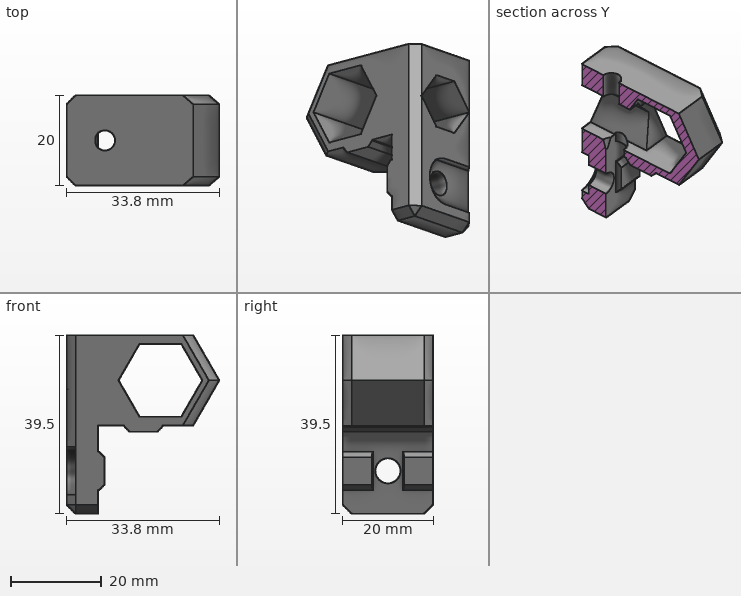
import cadquery as cq
import math

WIDTH = 20.0
HEIGHT = 39.5
LENGTH = 33.77
ARM_HEIGHT = 20.0
LEG_THICKNESS = 7.0
CHAMFER = 2.0
HALF_HEX_ANGLE = math.radians(30)
RAIL_WIDTH = 20.0

ARM_BOTTOM = HEIGHT - ARM_HEIGHT
ARM_MID = HEIGHT - ARM_HEIGHT / 2
NOSE_LENGTH = ARM_HEIGHT / 2 * math.tan(HALF_HEX_ANGLE)

KEY_TIP_WIDTH = 6.1
KEY_HEIGHT = 1.4
KEY_STEP = 0.2
KEY_ROOT_WIDTH = KEY_TIP_WIDTH + 2 * (KEY_HEIGHT - KEY_STEP)
ARM_KEY_X = LEG_THICKNESS + RAIL_WIDTH / 2
LEG_KEY_Z = ARM_BOTTOM - RAIL_WIDTH / 2

BORE_ACROSS_FLATS = 16.0
BORE_X = 20.75

WINDOW_WIDTH = 16.0
WINDOW_FLAT = 6.0
WINDOW_HEIGHT = 12.0
WINDOW_BOTTOM = ARM_MID - BORE_ACROSS_FLATS / 2

DROP_HOLE_DIAMETER = 4.4
TAPER_END_DIAMETER = 3.0
TAPER_LENGTH = 2.6
DROP_HOLE_X = 8.5
CLEARANCE_DIAMETER = 7.2

SCREW_HOLE_DIAMETER = 5.5
RECESS_WIDTH = 10.6
RECESS_DEPTH = 2.0


def extrude_along_y(points):
    """Prism of an X-Z outline over the full width."""
    return cq.Workplane("XZ").polyline(points).close().extrude(WIDTH / 2, both=True)


def make_body():
    """Upright leg with an arm that ends in a pointed nose."""
    return extrude_along_y([
        (0, 0),
        (LEG_THICKNESS, 0),
        (LEG_THICKNESS, ARM_BOTTOM),
        (LENGTH - NOSE_LENGTH, ARM_BOTTOM),
        (LENGTH, ARM_MID),
        (LENGTH - NOSE_LENGTH, HEIGHT),
        (0, HEIGHT),
    ])


def chamfer_body(body):
    """Chamfer the back's upright and bottom edges, the leg's bottom sides and the nose sides."""
    back_edges = body.faces("<X").edges("not >Z")
    foot_edges = body.faces("<Z").edges("|X")
    nose_region = cq.selectors.BoxSelector(
        (LENGTH - NOSE_LENGTH, -WIDTH, ARM_BOTTOM),
        (LENGTH, WIDTH, HEIGHT),
    )
    nose_edges = body.faces(">Y or <Y").edges(nose_region)
    return back_edges.add(foot_edges).add(nose_edges).chamfer(CHAMFER)


def make_keys():
    """Tapered ribs under the arm and on the inner side of the leg."""
    root = KEY_ROOT_WIDTH / 2
    tip = KEY_TIP_WIDTH / 2
    profile = [
        (-root, 0),
        (-root, KEY_STEP),
        (-tip, KEY_HEIGHT),
        (tip, KEY_HEIGHT),
        (root, KEY_STEP),
        (root, 0),
    ]
    arm_key = extrude_along_y([(ARM_KEY_X + along, ARM_BOTTOM - out) for along, out in profile])
    leg_key = extrude_along_y([(LEG_THICKNESS + out, LEG_KEY_Z + along) for along, out in profile])
    return arm_key.union(leg_key)


def make_bore():
    """Hexagonal bore with flats at its top and bottom."""
    across_corners = BORE_ACROSS_FLATS / math.cos(HALF_HEX_ANGLE)
    return (
        cq.Workplane("XZ")
        .center(BORE_X, ARM_MID)
        .polygon(6, across_corners)
        .extrude(WIDTH, both=True)
    )


def make_window():
    """Six-sided prism along X from the back face to the middle of the bore."""
    mid = WINDOW_BOTTOM + WINDOW_HEIGHT / 2
    top = WINDOW_BOTTOM + WINDOW_HEIGHT
    return (
        cq.Workplane("YZ")
        .polyline([
            (-WINDOW_WIDTH / 2, mid),
            (-WINDOW_FLAT / 2, WINDOW_BOTTOM),
            (WINDOW_FLAT / 2, WINDOW_BOTTOM),
            (WINDOW_WIDTH / 2, mid),
            (WINDOW_FLAT / 2, top),
            (-WINDOW_FLAT / 2, top),
        ])
        .close()
        .extrude(BORE_X)
    )


def make_drop_hole():
    """Vertical hole with a tapered end, joined by the clearance in front of the leg."""
    shaft = (
        cq.Workplane("XY", origin=(DROP_HOLE_X, 0, WINDOW_BOTTOM))
        .circle(DROP_HOLE_DIAMETER / 2)
        .extrude(HEIGHT - WINDOW_BOTTOM)
    )
    taper = cq.Workplane(cq.Solid.makeCone(
        TAPER_END_DIAMETER / 2,
        DROP_HOLE_DIAMETER / 2,
        TAPER_LENGTH,
        pnt=cq.Vector(DROP_HOLE_X, 0, WINDOW_BOTTOM - TAPER_LENGTH),
    ))
    clearance = (
        cq.Workplane("XY", origin=(DROP_HOLE_X, 0, 0))
        .circle(CLEARANCE_DIAMETER / 2)
        .extrude(WINDOW_BOTTOM + WINDOW_HEIGHT / 2)
    )
    behind_leg_face = cq.Workplane("XY").box(
        LEG_THICKNESS, WIDTH, HEIGHT, centered=(False, True, False))
    return shaft.union(taper).union(clearance.cut(behind_leg_face))


def make_screw_hole():
    """Hole through the leg and its key, with a round-ended recess running out at -Y."""
    run_out_length = WIDTH / 2
    back = cq.Workplane("YZ", origin=(0, 0, LEG_KEY_Z))
    hole = back.circle(SCREW_HOLE_DIAMETER / 2).extrude(LEG_THICKNESS + KEY_HEIGHT)
    round_end = back.circle(RECESS_WIDTH / 2).extrude(RECESS_DEPTH)
    run_out = (
        back.center(-run_out_length / 2, 0)
        .rect(run_out_length, RECESS_WIDTH)
        .extrude(RECESS_DEPTH)
    )
    return hole.union(round_end).union(run_out)


result = (
    chamfer_body(make_body())
    .union(make_keys())
    .cut(make_bore())
    .cut(make_window())
    .cut(make_drop_hole())
    .cut(make_screw_hole())
)